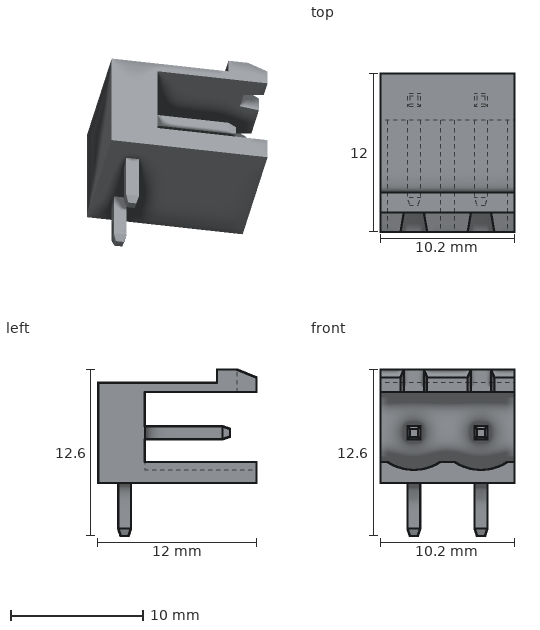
import cadquery as cq


pole_count = 2
pitch = 5.08
width = pole_count * pitch
depth = 12.0
total_height = 12.6
solder_pin_length = 4.01
lip_top = total_height - solder_pin_length
lip_step = 1.0
roof_top = lip_top - lip_step
floor_top = 1.6
cavity_height = 5.28
roof_bottom = floor_top + cavity_height
back_wall = 3.53
cavity_depth = depth - back_wall

lip_depth = 3.01
lip_slope_run = 1.5
lip_slope_drop = 0.6

notch_front_width = 2.02
notch_back_width = 1.51

trough_width = 4.0
trough_sag = 0.6

pin_size = 1.0
pin_tip_size = 0.6
pin_tip_length = 0.59
pin_front_gap = 2.02
contact_pin_z = 3.8
solder_pin_from_back = 2.0
solder_pin_y = depth - solder_pin_from_back
pin_embed = 0.63

pole_positions = [(i - (pole_count - 1) / 2) * pitch for i in range(pole_count)]


def make_housing():
    """C-shaped side profile, extruded across the full width."""
    profile = [
        (0, 0),
        (depth, 0),
        (depth, roof_top),
        (lip_depth, roof_top),
        (lip_depth, lip_top),
        (lip_slope_run, lip_top),
        (0, lip_top - lip_slope_drop),
        (0, roof_bottom),
        (cavity_depth, roof_bottom),
        (cavity_depth, floor_top),
        (0, floor_top),
    ]
    return cq.Workplane("YZ").polyline(profile).close().extrude(width / 2, both=True)


def make_notch(x):
    """Notch through the roof, narrowing from the front edge to the top of the slope."""
    outline = [
        (x - notch_front_width / 2, 0),
        (x + notch_front_width / 2, 0),
        (x + notch_back_width / 2, lip_slope_run),
        (x - notch_back_width / 2, lip_slope_run),
    ]
    return (
        cq.Workplane("XY", origin=(0, 0, roof_bottom))
        .polyline(outline)
        .close()
        .extrude(lip_top - roof_bottom)
    )


def make_trough(x):
    """Circular-segment groove running along the floor to the back wall."""
    return (
        cq.Workplane("XZ")
        .moveTo(x - trough_width / 2, floor_top)
        .threePointArc((x, floor_top - trough_sag), (x + trough_width / 2, floor_top))
        .close()
        .extrude(-cavity_depth)
    )


def make_pin(base, direction, length):
    """Square pin from base along direction, ending in a tapered tip."""
    plane = cq.Plane(origin=base, xDir=(1, 0, 0), normal=direction)
    shank_length = length - pin_tip_length
    shank = cq.Workplane(plane).rect(pin_size, pin_size).extrude(shank_length)
    tip = (
        cq.Workplane(plane)
        .workplane(offset=shank_length)
        .rect(pin_size, pin_size)
        .workplane(offset=pin_tip_length)
        .rect(pin_tip_size, pin_tip_size)
        .loft(ruled=True)
    )
    return shank.union(tip)


result = make_housing()
for pole_x in pole_positions:
    result = result.cut(make_notch(pole_x))
    result = result.cut(make_trough(pole_x))

    contact_base = (pole_x, cavity_depth + pin_embed, contact_pin_z)
    contact_length = cavity_depth - pin_front_gap + pin_embed
    result = result.union(make_pin(contact_base, (0, -1, 0), contact_length))

    solder_base = (pole_x, solder_pin_y, pin_embed)
    solder_length = solder_pin_length + pin_embed
    result = result.union(make_pin(solder_base, (0, 0, -1), solder_length))